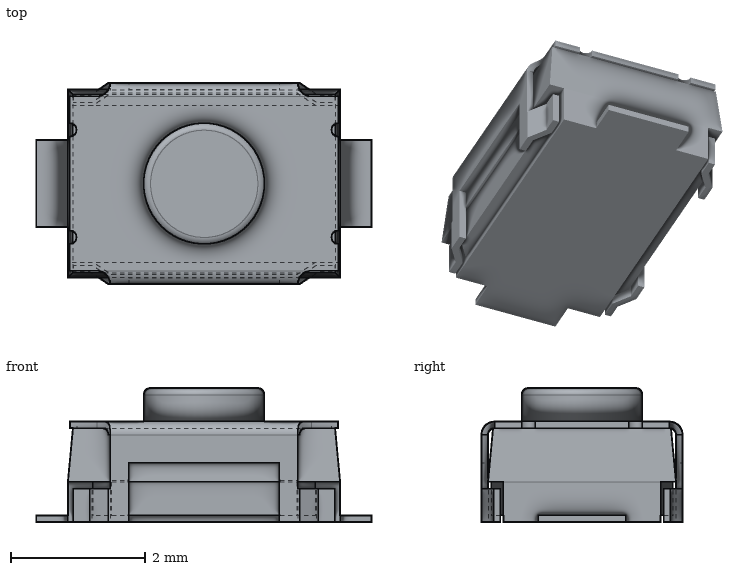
import cadquery as cq
import math

sheet = 0.1

terminal_length = 5.0
terminal_width = 1.3

housing_length = 4.06
base_end_width = 2.34
base_middle_width = 2.71
base_notch_x = 1.655
base_bulge_bottom = sheet
base_top = 0.6
body_width = 2.805
body_draft = 0.075

cover_length = 4.0
cover_width = 3.0
cover_top = 1.5
cover_underside = cover_top - sheet
bend_radius = 0.2
side_length = 2.8
window_length = 2.25
window_top = 0.885
notch_radius = 0.1
notch_y = 0.8

foot_top = 0.5
foot_bend_x = 1.425
foot_jog_end_x = 1.7
foot_tip_x = 1.95
foot_jog = 0.185

button_radius = 0.9
button_top = 2.0
button_fillet = 0.1


def block(length, width, bottom, top):
    """Box centred on Z between two heights."""
    box = cq.Workplane("XY").box(length, width, top - bottom, centered=(True, True, False))
    return box.translate((0, 0, bottom))


def make_base():
    end_y = base_end_width / 2
    middle_y = base_middle_width / 2
    flank_run = (middle_y - end_y) * (foot_jog_end_x - foot_bend_x) / foot_jog
    middle_x = base_notch_x - flank_run

    base = block(housing_length, base_end_width, 0, base_top)
    bulge = (
        cq.Workplane("XY")
        .workplane(offset=base_bulge_bottom)
        .polyline([
            (-base_notch_x, -end_y),
            (-middle_x, -middle_y),
            (middle_x, -middle_y),
            (base_notch_x, -end_y),
            (base_notch_x, end_y),
            (middle_x, middle_y),
            (-middle_x, middle_y),
            (-base_notch_x, end_y),
        ])
        .close()
        .extrude(base_top - base_bulge_bottom)
    )
    return base.union(bulge)


def make_body():
    height = cover_underside - base_top
    return (
        cq.Workplane("XY")
        .workplane(offset=base_top)
        .rect(housing_length, body_width)
        .extrude(height, taper=math.degrees(math.atan(body_draft / height)))
    )


def bent_sheet():
    """Inverted channel: top plate with both long sides bent down to the feet."""
    outer = (
        block(cover_length, cover_width, foot_top, cover_top)
        .edges("|X and >Z").fillet(bend_radius)
    )
    inner = (
        block(cover_length, cover_width - 2 * sheet, foot_top, cover_underside)
        .edges("|X and >Z").fillet(bend_radius - sheet)
    )
    return outer.cut(inner)


def side_envelope():
    """Space kept for the bent sides: straight below, flaring to the plate at the bends."""
    bend_start = cover_top - bend_radius
    relief_x = side_length / 2 + bend_radius
    straight = block(side_length, cover_width, foot_top, bend_start)
    flared = block(2 * relief_x, cover_width, bend_start, cover_top)
    corner_reliefs = (
        cq.Workplane("XY")
        .workplane(offset=bend_start)
        .rect(2 * relief_x, cover_width, forConstruction=True)
        .vertices()
        .circle(bend_radius)
        .extrude(bend_radius)
    )
    return straight.union(flared.cut(corner_reliefs))


def make_cover():
    plate_width = cover_width - 2 * bend_radius
    cover = bent_sheet().intersect(side_envelope())
    cover = cover.union(block(cover_length, plate_width, cover_underside, cover_top))
    cover = cover.cut(block(window_length, cover_width, foot_top, window_top))

    end_notches = (
        cq.Workplane("XY")
        .workplane(offset=cover_underside)
        .rect(cover_length, 2 * notch_y, forConstruction=True)
        .vertices()
        .circle(notch_radius)
        .extrude(sheet)
    )
    return cover.cut(end_notches)


def make_feet():
    outer_y = cover_width / 2
    tip_y = outer_y - foot_jog
    jog_angle = math.atan2(foot_jog, foot_jog_end_x - foot_bend_x)
    miter = sheet * math.tan(jog_angle / 2)
    foot = (
        cq.Workplane("XY")
        .polyline([
            (window_length / 2, outer_y),
            (foot_bend_x, outer_y),
            (foot_jog_end_x, tip_y),
            (foot_tip_x, tip_y),
            (foot_tip_x, tip_y - sheet),
            (foot_jog_end_x - miter, tip_y - sheet),
            (foot_bend_x - miter, outer_y - sheet),
            (window_length / 2, outer_y - sheet),
        ])
        .close()
        .extrude(foot_top)
    )
    pair = foot.union(foot.mirror("YZ"))
    return pair.union(pair.mirror("XZ"))


def make_button():
    return (
        cq.Workplane("XY")
        .workplane(offset=cover_underside)
        .circle(button_radius)
        .extrude(button_top - cover_underside)
        .faces(">Z").edges().fillet(button_fillet)
    )


terminals = block(terminal_length, terminal_width, 0, sheet)

result = (
    make_base()
    .union(make_body())
    .union(terminals)
    .union(make_cover())
    .union(make_feet())
    .union(make_button())
)